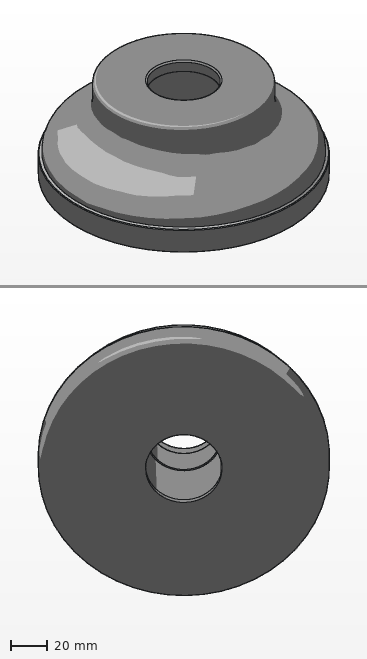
import cadquery as cq
import math

TOTAL_HEIGHT = 63.0
BASE_RADIUS = 80.0

BASE_EDGE_RADIUS = 3.2
FLOOR_THICKNESS = BASE_EDGE_RADIUS
RIM_INNER_TOP = 16.3
RIM_SHOULDER_TOP = 15.8
RIM_SIDE_TOP = 15.4
RIM_CHAMFER_WIDTH = 0.5

HUB_RADIUS = 50.0
HUB_EDGE_RADIUS = 2.0
HUB_BOTTOM = 50.0
FOOT_RADIUS = 78.0
FOOT_TOP = 17.8
FLARE_RADIUS = 15.0

BORE_RADIUS = 20.0
BORE_CHAMFER = 1.0
RELIEF_RADIUS = 20.2
RELIEF_TOP = 56.2
COUNTERBORE_RADIUS = BORE_RADIUS + BORE_CHAMFER
COUNTERBORE_TOP = 37.5


def arc_point(center, radius, angle):
    """Point on a circle, with the angle in radians from the +X direction."""
    return (center[0] + radius * math.cos(angle), center[1] + radius * math.sin(angle))


def revolve_about_z(profile):
    """Turn a closed radius-height profile once around the Z axis."""
    return profile.close().revolve(360, (0, 0, 0), (0, 1, 0))


def make_bell_blank():
    """Solid bell: its two flare arcs are joined by their common tangent line."""
    concave_center = (HUB_RADIUS + FLARE_RADIUS, HUB_BOTTOM)
    convex_center = (FOOT_RADIUS - FLARE_RADIUS, FOOT_TOP)
    center_dx = concave_center[0] - convex_center[0]
    center_dz = concave_center[1] - convex_center[1]
    center_distance = math.hypot(center_dx, center_dz)

    normal = math.atan2(center_dz, center_dx) - math.acos(2 * FLARE_RADIUS / center_distance)
    concave_end = normal + math.pi
    concave_middle = (math.pi + concave_end) / 2

    profile = (
        cq.Workplane("XZ")
        .moveTo(0, FLOOR_THICKNESS)
        .lineTo(0, TOTAL_HEIGHT)
        .lineTo(HUB_RADIUS, TOTAL_HEIGHT)
        .lineTo(HUB_RADIUS, HUB_BOTTOM)
        .threePointArc(
            arc_point(concave_center, FLARE_RADIUS, concave_middle),
            arc_point(concave_center, FLARE_RADIUS, concave_end),
        )
        .lineTo(*arc_point(convex_center, FLARE_RADIUS, normal))
        .threePointArc(
            arc_point(convex_center, FLARE_RADIUS, normal / 2),
            (FOOT_RADIUS, FOOT_TOP),
        )
        .lineTo(FOOT_RADIUS, FLOOR_THICKNESS)
    )
    return revolve_about_z(profile).faces(">Z").edges().fillet(HUB_EDGE_RADIUS)


def make_bore():
    """Cutter for the chamfered bore, its slight relief and its counterbore."""
    profile = (
        cq.Workplane("XZ")
        .moveTo(0, 0)
        .lineTo(COUNTERBORE_RADIUS, 0)
        .lineTo(COUNTERBORE_RADIUS, COUNTERBORE_TOP)
        .lineTo(RELIEF_RADIUS, COUNTERBORE_TOP)
        .lineTo(RELIEF_RADIUS, RELIEF_TOP)
        .lineTo(BORE_RADIUS, RELIEF_TOP)
        .lineTo(BORE_RADIUS, TOTAL_HEIGHT - BORE_CHAMFER)
        .lineTo(BORE_RADIUS + BORE_CHAMFER, TOTAL_HEIGHT)
        .lineTo(0, TOTAL_HEIGHT)
    )
    return revolve_about_z(profile)


def make_base():
    """Cup-shaped base with a sloped rim, a rounded lower edge and a central hole."""
    profile = (
        cq.Workplane("XZ")
        .moveTo(COUNTERBORE_RADIUS, 0)
        .lineTo(BASE_RADIUS, 0)
        .lineTo(BASE_RADIUS, RIM_SIDE_TOP)
        .lineTo(BASE_RADIUS - RIM_CHAMFER_WIDTH, RIM_SHOULDER_TOP)
        .lineTo(FOOT_RADIUS, RIM_INNER_TOP)
        .lineTo(FOOT_RADIUS, FLOOR_THICKNESS)
        .lineTo(COUNTERBORE_RADIUS, FLOOR_THICKNESS)
    )
    outer_lower_edge = cq.selectors.RadiusNthSelector(-1)
    return revolve_about_z(profile).faces("<Z").edges(outer_lower_edge).fillet(BASE_EDGE_RADIUS)


bell = make_bell_blank().cut(make_bore())
base = make_base()

result = cq.Compound.makeCompound([bell.solids().val(), base.solids().val()])